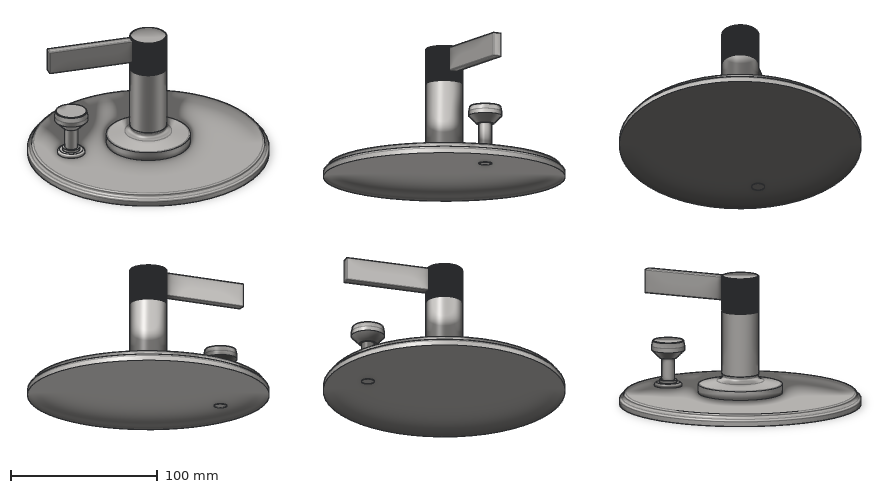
import cadquery as cq
import math

plate_radius = 82.5
plate_top = 8.0
column_radius = 12.7
handle_top = 89.2


def revolve_profile(profile, y=0.0):
    """Spin a closed XZ half profile about Z and move the body along Y."""
    return profile.revolve(360, (0, 0, 0), (0, 1, 0)).translate((0, y, 0))


rim_wall_top = 3.3
cove_bottom_radius = 81.0
cove_bottom = 4.8
cove_top_radius = 79.5
cove_top = 7.0
plate_face_radius = 78.3
rim_bulge = 0.41
rim_cove_depth = 0.5


def make_plate():
    profile = (
        cq.Workplane("XZ")
        .lineTo(plate_radius, 0)
        .lineTo(plate_radius, rim_wall_top)
        .sagittaArc((cove_bottom_radius, cove_bottom), -rim_bulge)
        .sagittaArc((cove_top_radius, cove_top), rim_cove_depth)
        .sagittaArc((plate_face_radius, plate_top), -rim_bulge)
        .lineTo(0, plate_top)
        .close()
    )
    return revolve_profile(profile)


drum_radius = 28.7
drum_top = 13.9
cone_foot_radius = 27.9
cone_foot = 14.2
neck_cove_radius = 16.0
neck_cove_bottom = 16.3
neck_cove_top = 19.6
neck_cove_depth = 0.8
column_chamfer = 0.3
neck_radius = column_radius - column_chamfer
column_bottom = 20.8
column_top = 64.9
head_bottom = 65.5
head_chamfer = 0.7


def make_handle_body():
    profile = (
        cq.Workplane("XZ")
        .lineTo(drum_radius, 0)
        .lineTo(drum_radius, drum_top)
        .lineTo(cone_foot_radius, cone_foot)
        .lineTo(neck_cove_radius, neck_cove_bottom)
        .sagittaArc((neck_radius, neck_cove_top), neck_cove_depth)
        .lineTo(neck_radius, column_bottom)
        .lineTo(column_radius, column_bottom + column_chamfer)
        .lineTo(column_radius, column_top - column_chamfer)
        .lineTo(neck_radius, column_top)
        .lineTo(neck_radius, head_bottom)
        .lineTo(column_radius, head_bottom)
        .lineTo(column_radius, handle_top - head_chamfer)
        .lineTo(column_radius - head_chamfer, handle_top)
        .lineTo(0, handle_top)
        .close()
    )
    return revolve_profile(profile)


flute_count = 72
flute_depth = 0.25
crest_overshoot = 0.08
cutter_margin = 1.7


def polar_point(radius, angle):
    return (radius * math.cos(angle), radius * math.sin(angle))


def make_knurl_cutter():
    """A ring whose star-shaped opening leaves V flutes on the head."""
    pitch_angle = 2 * math.pi / flute_count
    star_points = []
    for i in range(flute_count):
        crest_angle = i * pitch_angle
        star_points.append(polar_point(column_radius + crest_overshoot, crest_angle))
        star_points.append(polar_point(column_radius - flute_depth, crest_angle + pitch_angle / 2))
    head_height = handle_top - head_bottom
    base = cq.Workplane("XY").workplane(offset=head_bottom)
    star = base.polyline(star_points).close().extrude(head_height)
    return base.circle(column_radius + cutter_margin).extrude(head_height).cut(star)


lever_width = 6.5
lever_reach = 71.3
lever_bottom = 71.5
lever_top = 88.0
lever_edge_round = 0.7


def make_lever():
    lever_height = lever_top - lever_bottom
    lever = (
        cq.Workplane("XY")
        .box(lever_width, lever_reach, lever_height, centered=(True, False, False))
        .edges("|Y or <Y")
        .fillet(lever_edge_round)
    )
    return lever.translate((0, -lever_reach, lever_bottom))


knob_y = -55.0
stem_bottom = -0.5
stem_radius = 4.5
flange_radius = 9.4
flange_shoulder_radius = 8.1
flange_top = 10.4
flange_bulge = 0.58
collar_radius = 6.0
collar_top = 12.2
knob_foot_radius = 6.0
knob_foot = 27.4
knob_radius = 11.4
knob_band_bottom = 32.9
knob_band_top = 35.8
knob_shoulder_radius = 10.7
knob_shoulder = 39.1
knob_face_radius = 10.2
knob_top = 39.6


def make_diverter():
    profile = (
        cq.Workplane("XZ")
        .moveTo(0, stem_bottom)
        .lineTo(stem_radius, stem_bottom)
        .lineTo(stem_radius, plate_top)
        .lineTo(flange_radius, plate_top)
        .sagittaArc((flange_shoulder_radius, flange_top), -flange_bulge)
        .lineTo(collar_radius, flange_top)
        .lineTo(collar_radius, collar_top)
        .lineTo(stem_radius, collar_top)
        .lineTo(stem_radius, knob_foot)
        .lineTo(knob_foot_radius, knob_foot)
        .lineTo(knob_radius, knob_band_bottom)
        .lineTo(knob_radius, knob_band_top)
        .lineTo(knob_shoulder_radius, knob_shoulder)
        .lineTo(knob_face_radius, knob_top)
        .lineTo(0, knob_top)
        .close()
    )
    return revolve_profile(profile, knob_y)


handle = make_handle_body().cut(make_knurl_cutter()).union(make_lever())
result = make_plate().union(handle).union(make_diverter())